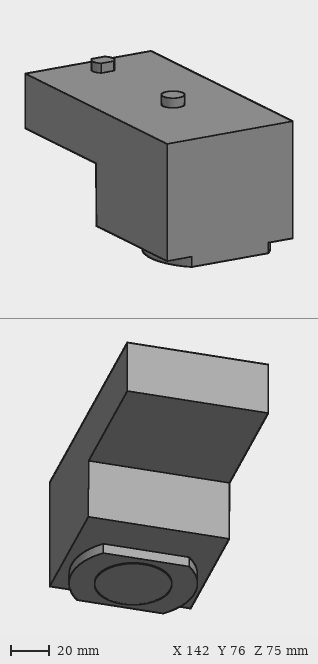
import cadquery as cq

length = 142.0
width = 76.0
body_height = 63.5
arm_thickness = 29.7
step_top_x = 70.7
step_bottom_x = 71.3

pin_diameter = 12.0
pin_height = 5.3
round_pin_x = 85.0
flat_pin_x = 14.9
flat_pin_width = 9.4

flange_diameter = 66.5
flange_width = 47.7
flange_thickness = 5.7
flange_x = length - flange_width / 2

disc_diameter = 40.0
disc_thickness = 0.5


def cylinder(x, z, diameter, height):
    """Vertical cylinder on the centre plane, rising from z."""
    return cq.Workplane("XY", origin=(x, 0, z)).circle(diameter / 2).extrude(height)


def flatted_cylinder(x, z, diameter, height, across_flats):
    """Vertical cylinder with flats on its -X and +X sides."""
    trim = (
        cq.Workplane("XY", origin=(x, 0, z))
        .rect(across_flats, diameter)
        .extrude(height)
    )
    return cylinder(x, z, diameter, height).intersect(trim)


def stepped_body():
    """Side profile extruded across the width, with its underside at z = 0."""
    arm_bottom = body_height - arm_thickness
    profile = [
        (0, body_height),
        (length, body_height),
        (length, 0),
        (step_bottom_x, 0),
        (step_top_x, arm_bottom),
        (0, arm_bottom),
    ]
    return cq.Workplane("XZ").polyline(profile).close().extrude(width / 2, both=True)


round_pin = cylinder(round_pin_x, body_height, pin_diameter, pin_height)
flat_pin = flatted_cylinder(flat_pin_x, body_height, pin_diameter, pin_height, flat_pin_width)
flange = flatted_cylinder(flange_x, -flange_thickness, flange_diameter, flange_thickness, flange_width)
disc = cylinder(flange_x, -flange_thickness - disc_thickness, disc_diameter, disc_thickness)

result = stepped_body().union(round_pin).union(flat_pin).union(flange).union(disc)